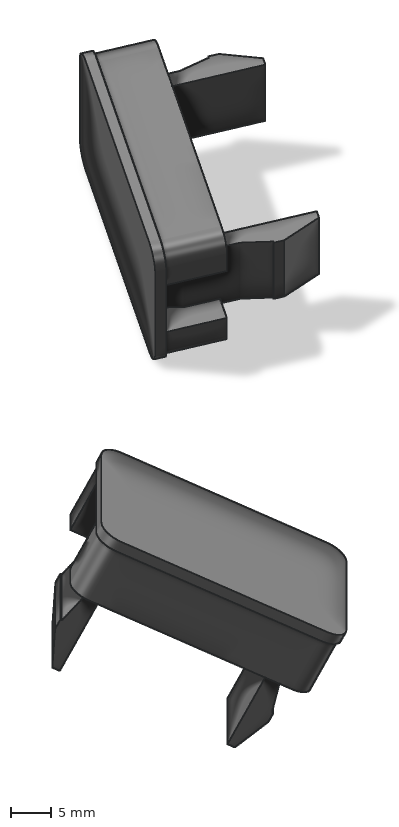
import cadquery as cq

plate_width = 33.85
plate_height = 23.3
plate_thickness = 1.45
plate_corner_radius = 2.78

body_side_inset = 0.35
body_top_inset = 0.4
body_back = 9.35
body_corner_radius = 2.5
body_width = plate_width - 2 * body_side_inset
body_height = plate_height - 2 * body_top_inset

clip_height = 11.98
clip_inner_depth = 5.35
clip_stem_depth = 3.35
clip_tip_depth = 4.33
barb_depth = 2.2
barb_step = 0.2
ramp_start = 11.9
barb_start = 15.88
barb_end = 17.25
clip_end = 22.35

notch_height = 10.0
root_extra_depth = 0.5
root_taper_start = 2.88
root_taper_end = 4.65


def rounded_block(width, height, corner_radius, front, back):
    """Rounded rectangle in X and Z, running from front to back along Y."""
    return (
        cq.Workplane("XY")
        .box(width, back - front, height)
        .edges("|Y")
        .fillet(corner_radius)
        .translate((0, (front + back) / 2, 0))
    )


def left_side_prism(points, height):
    """Prism centred on Z = 0 from (depth inward from left edge, Y) points."""
    outline = [(depth - plate_width / 2, y) for depth, y in points]
    return cq.Workplane("XY").polyline(outline).close().extrude(height / 2, both=True)


def left_notch():
    root_depth = clip_stem_depth + root_extra_depth
    return left_side_prism(
        [
            (0, plate_thickness),
            (root_depth, plate_thickness),
            (root_depth, root_taper_start),
            (clip_stem_depth, root_taper_end),
            (clip_stem_depth, body_back),
            (0, body_back),
        ],
        notch_height,
    )


def left_clip():
    return left_side_prism(
        [
            (clip_inner_depth, body_back),
            (clip_inner_depth, clip_end),
            (clip_tip_depth, clip_end),
            (barb_depth, barb_end),
            (barb_depth, barb_start),
            (barb_depth + barb_step, barb_start),
            (clip_stem_depth, ramp_start),
            (clip_stem_depth, body_back),
        ],
        clip_height,
    )


plate = rounded_block(plate_width, plate_height, plate_corner_radius, 0, plate_thickness)
body = rounded_block(body_width, body_height, body_corner_radius, plate_thickness, body_back)

result = plate.union(body)
notch = left_notch()
clip = left_clip()
for cutter in (notch, notch.mirror("YZ")):
    result = result.cut(cutter)
for arm in (clip, clip.mirror("YZ")):
    result = result.union(arm)